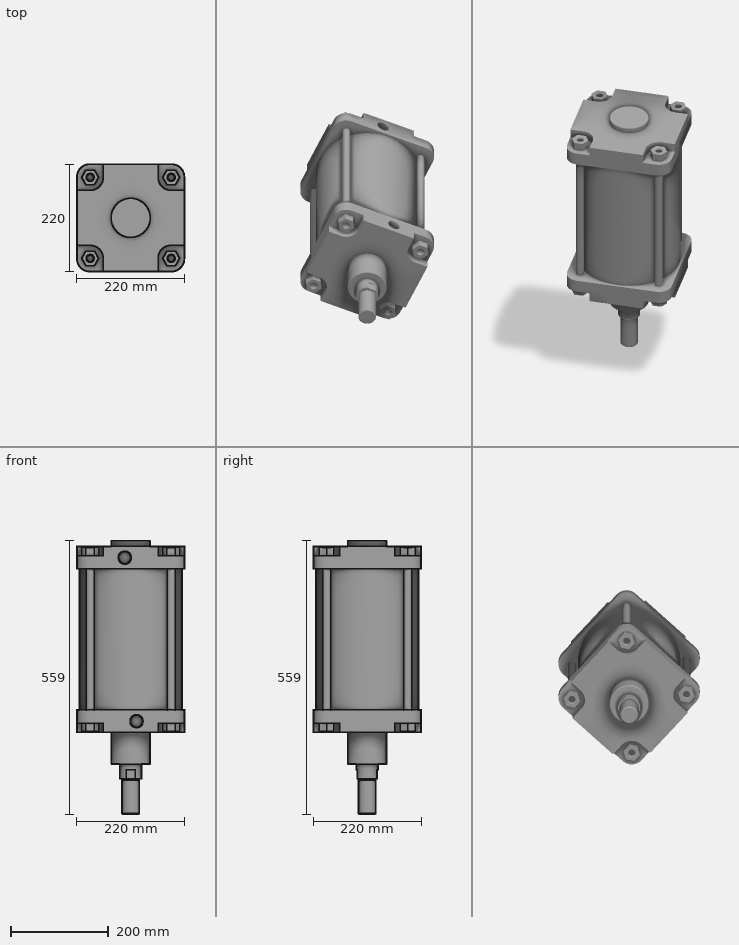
import cadquery as cq
import math

thread_length = 69.0
neck_length = 3.0
flats_length = 18.5
collar_length = 11.5
gland_length = 65.0
cap_height = 46.0
barrel_length = 288.0
boss_height = 12.0

neck_start = thread_length
flats_start = neck_start + neck_length
collar_start = flats_start + flats_length
gland_start = collar_start + collar_length
lower_cap_start = gland_start + gland_length
barrel_start = lower_cap_start + cap_height
upper_cap_start = barrel_start + barrel_length

cap_width = 220.0
corner_radius = 27.0
hub_diameter = 80.0
hub_fillet = 2.5
recess_size = 2 * corner_radius
recess_depth = 19.0

port_diameter = 24.5
port_chamfer = 1.0
port_depth = 25.0
port_offset = 12.0

barrel_diameter = 210.0
rod_diameter = 45.0
rod_across_flats = 41.0
thread_diameter = 36.0
thread_chamfer = 2.0
neck_diameter = thread_diameter - 2 * thread_chamfer

tie_spacing = 165.5
tie_diameter = 16.0
nut_across_flats = 30.0
nut_height = 17.0
nut_bore = 13.5
nut_bore_chamfer = (tie_diameter - nut_bore) / 2


def cylinder(diameter, start, length):
    return cq.Workplane("XY", origin=(0, 0, start)).circle(diameter / 2).extrude(length)


def make_corner_recess():
    """Cutter for the +X +Y corner of the outer face, its inner edge rounded."""
    center = (cap_width - recess_size) / 2
    return (
        cq.Workplane("XY", origin=(center, center, cap_height - recess_depth))
        .rect(recess_size, recess_size)
        .extrude(recess_depth)
        .edges("|Z and <X and <Y")
        .fillet(corner_radius)
    )


def make_port(port_x):
    """Cutter for a blind port at half the cap height, with a chamfered mouth."""
    mouth_radius = port_diameter / 2 + port_chamfer
    profile = [
        (0, 0),
        (mouth_radius, 0),
        (port_diameter / 2, port_chamfer),
        (port_diameter / 2, port_depth),
        (0, port_depth),
    ]
    cutter = cq.Workplane("XY").polyline(profile).close().revolve(360, (0, 0), (0, 1))
    return cutter.translate((port_x, -cap_width / 2, cap_height / 2))


def make_cap(hub_length, port_x):
    """End cap with its barrel side at Z = 0 and its hub pointing up."""
    plate = cq.Workplane("XY").rect(cap_width, cap_width).extrude(cap_height)
    plate = plate.edges("|Z").fillet(corner_radius)
    hub = cylinder(hub_diameter, cap_height, hub_length).faces(">Z").fillet(hub_fillet)
    cap = plate.union(hub).cut(make_port(port_x))
    recess = make_corner_recess()
    for quarter in range(4):
        cap = cap.cut(recess.rotate((0, 0, 0), (0, 0, 1), 90 * quarter))
    tie_holes = (
        cq.Workplane("XY")
        .rect(tie_spacing, tie_spacing, forConstruction=True)
        .vertices()
        .circle(tie_diameter / 2)
        .extrude(cap_height)
    )
    return cap.cut(tie_holes)


def make_piston_rod():
    """Rod collar, wrench flats, thread relief neck and chamfered thread, butting on the gland end."""
    thread = cylinder(thread_diameter, 0, thread_length).faces("<Z").chamfer(thread_chamfer)
    neck = cylinder(neck_diameter, neck_start, neck_length)
    collar = cylinder(rod_diameter, collar_start, collar_length)
    flats = cylinder(rod_diameter, flats_start, flats_length).intersect(
        cq.Workplane("XY", origin=(0, 0, flats_start))
        .rect(rod_diameter, rod_across_flats)
        .extrude(flats_length)
    )
    return thread.union(neck).union(flats).union(collar)


def make_nut():
    """Hexagon nut standing on Z = 0, corners along X, with its open bore at the top."""
    across_corners = nut_across_flats / math.cos(math.radians(30))
    nut = cq.Workplane("XY").polygon(6, across_corners).extrude(nut_height)
    nut = nut.cut(cylinder(nut_bore, 0, nut_height))
    return nut.faces(">Z").edges("%CIRCLE").chamfer(nut_bore_chamfer)


def make_tie_rod():
    """Tie rod through both caps, joined to a nut seated in the recess at each end."""
    lower_seat = lower_cap_start + recess_depth
    upper_seat = upper_cap_start + cap_height - recess_depth
    shank = cylinder(tie_diameter, lower_seat, upper_seat - lower_seat)
    upper_nut = make_nut().translate((0, 0, upper_seat))
    lower_nut = make_nut().mirror("XY").translate((0, 0, lower_seat))
    return shank.union(upper_nut).union(lower_nut)


upper_cap = make_cap(boss_height, -port_offset).translate((0, 0, upper_cap_start))
lower_cap = make_cap(gland_length, port_offset).mirror("XY").translate((0, 0, barrel_start))
barrel = cylinder(barrel_diameter, barrel_start, barrel_length)
piston_rod = make_piston_rod()

tie_rods = []
for x in (-tie_spacing / 2, tie_spacing / 2):
    for y in (-tie_spacing / 2, tie_spacing / 2):
        tie_rods.append(make_tie_rod().translate((x, y, 0)).val())

result = cq.Compound.makeCompound(
    [upper_cap.val(), lower_cap.val(), barrel.val(), piston_rod.val(), *tie_rods]
)